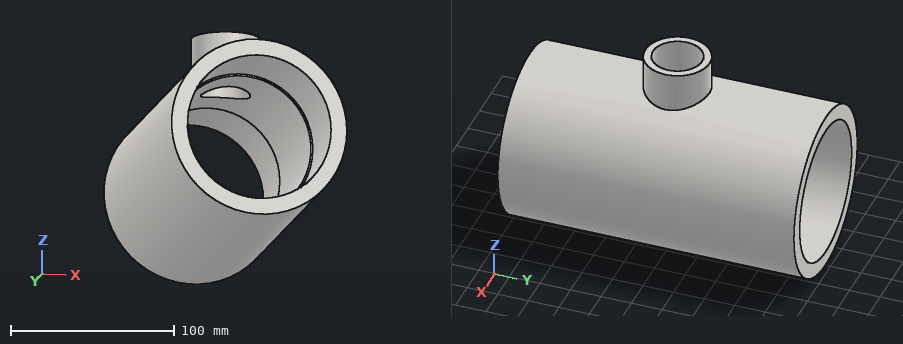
import cadquery as cq

run_length = 194.0
run_diameter = 110.0
run_bore_diameter = 87.7
run_socket_diameter = 90.0
run_socket_depth = 52.4

overall_height = 132.0
branch_top = overall_height - run_diameter / 2
branch_diameter = 42.1
branch_bore_diameter = 30.3
branch_socket_diameter = 32.0
branch_socket_depth = 23.3


def run_cylinder(diameter, start, length):
    """Cylinder on the run axis, from Y = start towards +Y."""
    return cq.Workplane("XZ", origin=(0, start, 0)).circle(diameter / 2).extrude(-length)


def branch_cylinder(diameter, length):
    """Cylinder on the branch axis, from the branch mouth downwards."""
    return cq.Workplane("XY", origin=(0, 0, branch_top)).circle(diameter / 2).extrude(-length)


run_start = -run_length / 2
body = run_cylinder(run_diameter, run_start, run_length)
body = body.union(branch_cylinder(branch_diameter, branch_top))

body = body.cut(run_cylinder(run_bore_diameter, run_start, run_length))
for socket_start in (run_start, run_length / 2 - run_socket_depth):
    body = body.cut(run_cylinder(run_socket_diameter, socket_start, run_socket_depth))

body = body.cut(branch_cylinder(branch_bore_diameter, branch_top))
body = body.cut(branch_cylinder(branch_socket_diameter, branch_socket_depth))

result = body